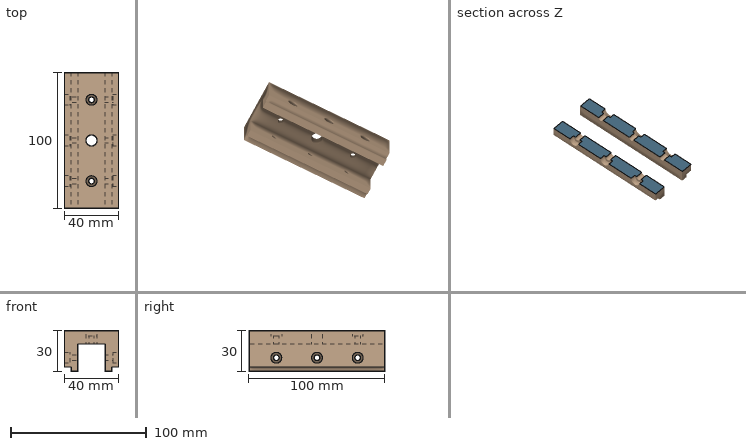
import cadquery as cq

width = 40.0
length = 100.0
height = 30.0
channel_width = 20.0
top_thickness = 10.0
foot_width = 5.0
foot_height = 3.0

hole_dia = 4.0
counterbore_dia = 8.0
counterbore_depth = 4.0
center_hole_dia = 8.0
hole_pitch = 30.0
side_hole_z = 10.0

wall_thickness = (width - channel_width) / 2
channel_height = height - top_thickness


def block(size_x, size_z, x, z):
    """Full-length bar centred on x, with its underside at z."""
    return cq.Workplane("XY").box(size_x, length, size_z, centered=(True, True, False)).translate((x, 0, z))


def make_body():
    body = block(width, height - foot_height, 0, foot_height)
    foot_x = (channel_width + foot_width) / 2
    for side in (-1, 1):
        body = body.union(block(foot_width, foot_height, side * foot_x, 0))
    return body.cut(block(channel_width, channel_height, 0, 0))


def drill(diameter, depth, start, direction):
    """Cylinder that removes a hole from start along direction."""
    return cq.Workplane(cq.Solid.makeCylinder(diameter / 2, depth, cq.Vector(*start), cq.Vector(*direction)))


def counterbored_hole(start, direction, depth):
    hole = drill(hole_dia, depth, start, direction)
    return hole.union(drill(counterbore_dia, counterbore_depth, start, direction))


result = make_body()

down = (0, 0, -1)
for y in (-hole_pitch, hole_pitch):
    result = result.cut(counterbored_hole((0, y, height), down, top_thickness))
result = result.cut(drill(center_hole_dia, top_thickness, (0, 0, height), down))

for side in (-1, 1):
    for y in (-hole_pitch, 0, hole_pitch):
        start = (side * width / 2, y, side_hole_z)
        result = result.cut(counterbored_hole(start, (-side, 0, 0), wall_thickness))